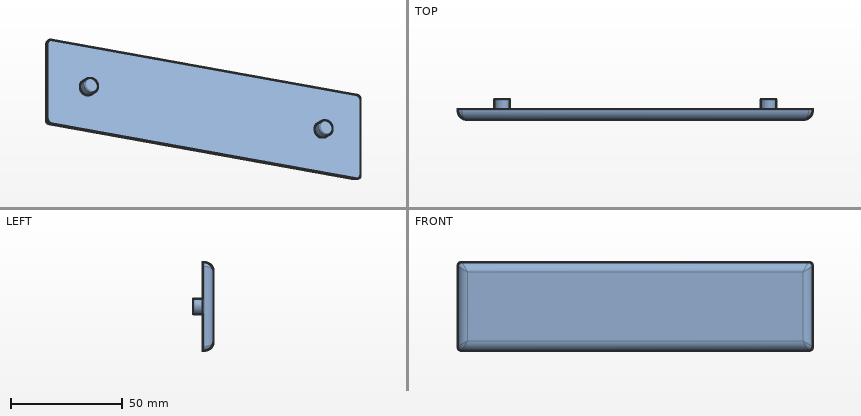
import cadquery as cq

length = 160.0
height = 40.0
plate_thickness = 5.0
rim_thickness = 0.5
corner_radius = 2.0

peg_diameter = 7.0
peg_length = 4.5
peg_spacing = 120.0
peg_tip_radius = 0.5

edge_radius = plate_thickness - rim_thickness


def make_plate():
    """Rectangular plate with a rounded front edge and rounded corners; back face at Y = 0."""
    block = cq.Workplane("XZ").rect(length, height).extrude(plate_thickness)
    domed = block.faces("<Y").edges().fillet(edge_radius)
    return domed.edges("|Y").fillet(corner_radius)


def make_pegs():
    """Two round pegs standing on the back face, rounded at the tip."""
    pegs = cq.Workplane("XZ").rarray(peg_spacing, 1.6, 2, 1).circle(peg_diameter / 2).extrude(-peg_length)
    return pegs.faces(">Y").edges().fillet(peg_tip_radius)


result = make_plate().union(make_pegs())